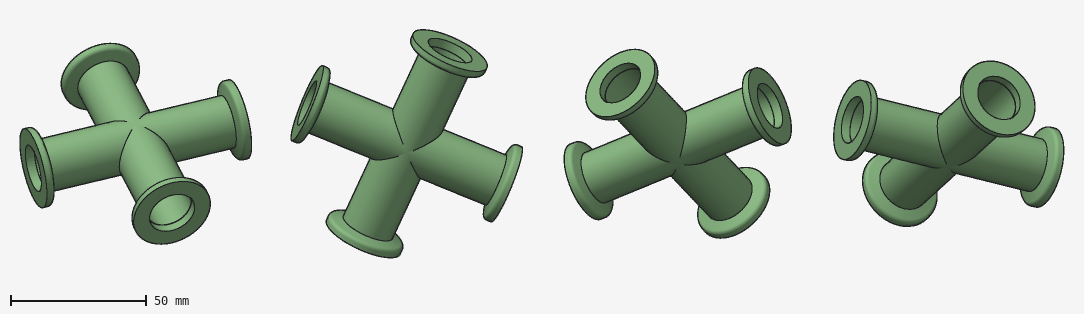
import cadquery as cq
import math

span = 80.0
half_span = span / 2

tube_radius = 10.0
tube_bore_radius = 8.6

flange_diameter = 30.0
flange_radius = flange_diameter / 2
flange_bore_radius = 8.8
rim_length = 1.8
shoulder_radius = 1.5
taper_angle = math.radians(15)
taper_start = rim_length + shoulder_radius * math.cos(taper_angle)
taper_start_radius = flange_radius - shoulder_radius * (1 - math.sin(taper_angle))
flange_length = taper_start + (taper_start_radius - tube_radius) * math.tan(taper_angle)

tube_end_inset = 3.5
tube_span = span - 2 * tube_end_inset
flange_turns = (0, 90, 180, 270)


def crossed_cylinders(radius, length):
    """Two equal cylinders crossing at the origin, along X and along Y."""
    along_x = cq.Workplane("YZ").circle(radius).extrude(length / 2, both=True)
    along_y = cq.Workplane("XZ").circle(radius).extrude(length / 2, both=True)
    return along_x.union(along_y)


def make_cross_tube():
    """Four-way tube, open at all four ends."""
    return crossed_cylinders(tube_radius, tube_span).cut(crossed_cylinders(tube_bore_radius, tube_span))


def make_flange(turn):
    """Tapered flange socketed over the +X tube end, then turned about Z."""
    middle_angle = (math.pi / 2 - taper_angle) / 2
    shoulder_middle = (
        half_span - rim_length - shoulder_radius * math.sin(middle_angle),
        flange_radius - shoulder_radius * (1 - math.cos(middle_angle)),
    )
    profile = (
        cq.Workplane("XY")
        .moveTo(half_span, flange_bore_radius)
        .lineTo(half_span, flange_radius)
        .lineTo(half_span - rim_length, flange_radius)
        .threePointArc(shoulder_middle, (half_span - taper_start, taper_start_radius))
        .lineTo(half_span - flange_length, tube_radius)
        .lineTo(half_span - tube_end_inset, tube_radius)
        .lineTo(half_span - tube_end_inset, flange_bore_radius)
        .close()
    )
    flange = profile.revolve(360, (0, 0, 0), (1, 0, 0))
    return flange.rotate((0, 0, 0), (0, 0, 1), turn)


cross_tube = make_cross_tube()
flanges = [make_flange(turn) for turn in flange_turns]

result = cq.Compound.makeCompound([cross_tube.val(), *[flange.val() for flange in flanges]])